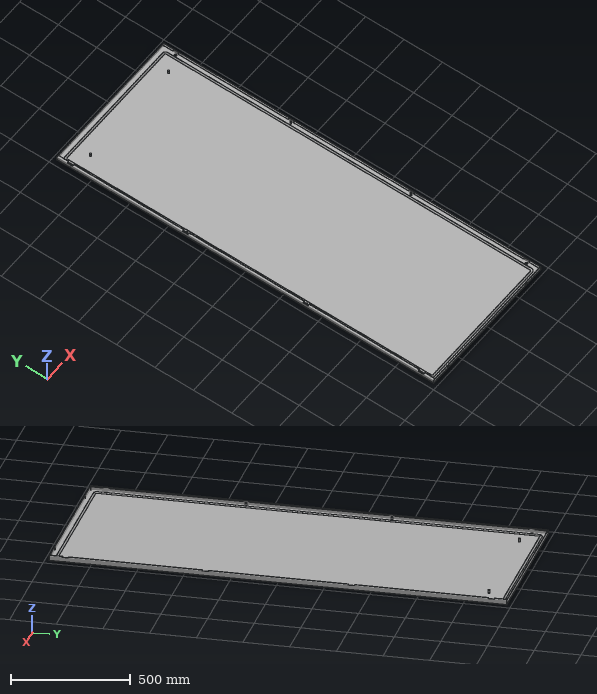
import cadquery as cq

DOOR_WIDTH = 746.0
DOOR_LENGTH = 1961.0
DOOR_HEIGHT = 21.5
SHEET = 1.5
BEND_RADIUS = 2.0
LIP_WIDTH = 11.0
LIP_NOTCH_LENGTH = 27.0

SIDE_INSET = 9.7
CORNER_HOLE_DIAMETER = 10.0
CORNER_HOLE_Y = 912.5
SIDE_STUD_Y = 313.0

END_STUD_X = 271.7
END_STUD_Y = 880.0
STUD_DIAMETER = 8.0
STUD_HEIGHT = 13.5
FRONT_HOLE_DIAMETER = 9.0
FRONT_HOLE_Z = DOOR_HEIGHT / 2

GASKET_INSET = 23.9
GASKET_WIDTH = 10.4
GASKET_HEIGHT = GASKET_WIDTH / 2
GASKET_CREST_FLAT = 0.6
GASKET_CORNER_RADIUS = 10.0

SIDE_X = DOOR_WIDTH / 2 - SIDE_INSET
CORNER_HOLE_POINTS = [(sx * SIDE_X, sy * CORNER_HOLE_Y) for sx in (-1, 1) for sy in (-1, 1)]
SIDE_STUD_POINTS = [(sx * SIDE_X, sy * SIDE_STUD_Y) for sx in (-1, 1) for sy in (-1, 1)]
END_STUD_POINTS = [(sx * END_STUD_X, END_STUD_Y) for sx in (-1, 1)]
FRONT_HOLE_POINTS = [(sx * END_STUD_X, FRONT_HOLE_Z) for sx in (-1, 1)]


def block(width, length, height, base_z):
    return cq.Workplane("XY").workplane(offset=base_z).rect(width, length).extrude(height)


def make_folded_sheet():
    """The floor, the four walls and the two lips, with the folds rounded."""
    folds = "|Y or <Z"
    inner_width = DOOR_WIDTH - 2 * SHEET
    inner_length = DOOR_LENGTH - 2 * SHEET
    inner_height = DOOR_HEIGHT - 2 * SHEET
    outside = block(DOOR_WIDTH, DOOR_LENGTH, DOOR_HEIGHT, 0).edges(folds).fillet(BEND_RADIUS)
    inside = block(inner_width, inner_length, inner_height, SHEET).edges(folds).fillet(BEND_RADIUS - SHEET)
    lip_base_z = DOOR_HEIGHT - SHEET
    opening = block(DOOR_WIDTH - 2 * LIP_WIDTH, inner_length, SHEET, lip_base_z)
    return outside.cut(inside).cut(opening)


def make_lip_notches():
    """Clearance through the lips above each corner hole and side stud."""
    return (
        cq.Workplane("XY")
        .workplane(offset=DOOR_HEIGHT - SHEET)
        .pushPoints(CORNER_HOLE_POINTS + SIDE_STUD_POINTS)
        .rect(2 * (SIDE_INSET - BEND_RADIUS), LIP_NOTCH_LENGTH)
        .extrude(SHEET)
    )


def make_corner_holes():
    return (
        cq.Workplane("XY")
        .pushPoints(CORNER_HOLE_POINTS)
        .circle(CORNER_HOLE_DIAMETER / 2)
        .extrude(SHEET)
    )


def make_front_holes():
    return (
        cq.Workplane("XZ", origin=(0, -DOOR_LENGTH / 2 + SHEET, 0))
        .pushPoints(FRONT_HOLE_POINTS)
        .circle(FRONT_HOLE_DIAMETER / 2)
        .extrude(SHEET)
    )


def make_pan():
    return make_folded_sheet().cut(make_lip_notches()).cut(make_corner_holes()).cut(make_front_holes())


def gasket_block(offset):
    """A block on the floor whose sides lie outside the middle of the bead by the offset."""
    width = DOOR_WIDTH - 2 * (GASKET_INSET - offset)
    length = DOOR_LENGTH - 2 * (GASKET_INSET - offset)
    return block(width, length, GASKET_HEIGHT, SHEET).edges("|Z").fillet(GASKET_CORNER_RADIUS + offset)


def make_gasket():
    half_width = GASKET_WIDTH / 2
    ring = gasket_block(half_width).cut(gasket_block(-half_width))
    return ring.faces(">Z").edges().fillet((GASKET_WIDTH - GASKET_CREST_FLAT) / 2)


def make_stud(x, y):
    floor = cq.Workplane("XY").workplane(offset=SHEET)
    return floor.center(x, y).circle(STUD_DIAMETER / 2).extrude(STUD_HEIGHT)


pan = make_pan()
gasket = make_gasket()
studs = [make_stud(x, y).val() for x, y in SIDE_STUD_POINTS + END_STUD_POINTS]

result = cq.Compound.makeCompound([pan.val(), gasket.val(), *studs])